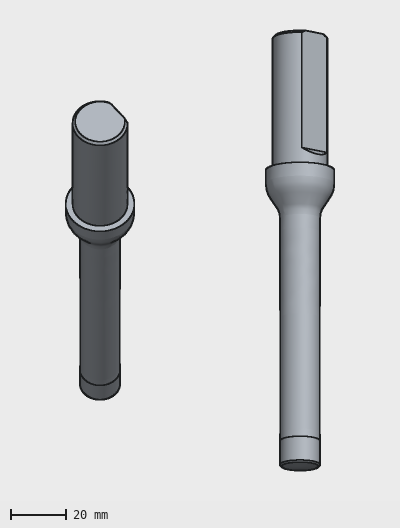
import cadquery as cq

total_length = 161.0

shank_diameter = 20.0
shank_length = 50.0
shank_chamfer = 1.0
flat_offset = 8.0
flat_length = 44.0

collar_diameter = 25.0
collar_height = 5.0
flare_height = 13.0

neck_diameter = 14.7
neck_height = 5.0
taper_height = 32.0
stem_diameter = 14.5

head_diameter = 14.7
head_length = 10.0
head_taper_height = 2.9
head_chamfer = 0.6
tip_height = 0.5

shank_radius = shank_diameter / 2
collar_radius = collar_diameter / 2
neck_radius = neck_diameter / 2
stem_radius = stem_diameter / 2
head_radius = head_diameter / 2
collar_top = total_length - shank_length
collar_bottom = collar_top - collar_height
neck_top = collar_bottom - flare_height
neck_bottom = neck_top - neck_height
stem_top = neck_bottom - taper_height
stem_bottom = head_length + head_taper_height


def make_flat_cutter():
    """Prism that removes the clamping flat and its 45 degree run-out."""
    flat_end = total_length - flat_length
    flat_depth = collar_radius - flat_offset
    return (
        cq.Workplane("YZ")
        .moveTo(flat_offset, total_length)
        .lineTo(flat_offset, flat_end)
        .lineTo(flat_offset + flat_depth, flat_end - flat_depth)
        .lineTo(flat_offset + flat_depth, total_length)
        .close()
        .extrude(collar_radius, both=True)
    )


def make_holder():
    """Turned holder: shank, collar, flare, neck, stem and end cone."""
    down = (0, -1)
    turned = (
        cq.Workplane("XZ")
        .moveTo(0, total_length)
        .lineTo(shank_radius - shank_chamfer, total_length)
        .lineTo(shank_radius, total_length - shank_chamfer)
        .lineTo(shank_radius, collar_top)
        .lineTo(collar_radius, collar_top)
        .lineTo(collar_radius, collar_bottom)
        .spline([(neck_radius, neck_top)], tangents=[down, down], includeCurrent=True)
        .lineTo(neck_radius, neck_bottom)
        .lineTo(stem_radius, stem_top)
        .lineTo(stem_radius, stem_bottom)
        .lineTo(head_radius, head_length)
        .lineTo(0, head_length)
        .close()
        .revolve(360, (0, 0), (0, 1))
    )
    return turned.cut(make_flat_cutter())


def make_head():
    """Cylindrical cutting head with a chamfered rim and a shallow conical tip."""
    return (
        cq.Workplane("XZ")
        .moveTo(0, head_length)
        .lineTo(head_radius, head_length)
        .lineTo(head_radius, tip_height + head_chamfer)
        .lineTo(head_radius - head_chamfer, tip_height)
        .lineTo(0, 0)
        .close()
        .revolve(360, (0, 0), (0, 1))
    )


holder = make_holder()
head = make_head()

result = cq.Compound.makeCompound([holder.val(), head.val()])